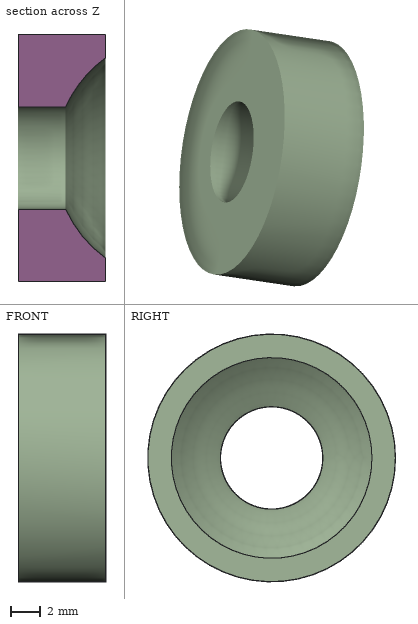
import cadquery as cq
import math

outer_diameter = 17.0
bore_diameter = 7.0
width = 6.0
seat_radius = 8.5
recess_depth = 2.75

ring = (
    cq.Workplane("YZ")
    .circle(outer_diameter / 2)
    .circle(bore_diameter / 2)
    .extrude(width)
)

bore_edge_to_centre = math.sqrt(seat_radius**2 - (bore_diameter / 2) ** 2)
seat_centre_x = width - recess_depth + bore_edge_to_centre
seat_ball = cq.Workplane("YZ", origin=(seat_centre_x, 0, 0)).sphere(seat_radius)

result = ring.cut(seat_ball)